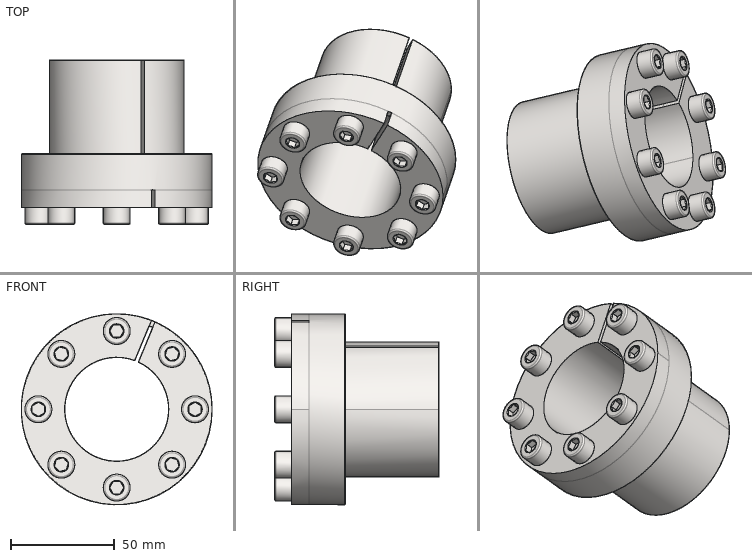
import cadquery as cq
import math

outer_diameter = 92.0
bore_diameter = 50.0
sleeve_diameter = 65.0
sleeve_length = 45.0
ring_length = 17.5
flange_length = 8.6
ring_chamfer = 0.4

slit_width = 1.8
slit_angle = 67.5
slit_depth_radius = 43.1

screw_count = 8
bolt_circle_diameter = 75.4
head_diameter = 13.0
head_height = 8.0
head_fillet = 0.7
socket_across_flats = 6.0
socket_depth = 4.0
socket_mouth_diameter = 7.0

ring_front = flange_length
ring_back = ring_front + ring_length
sleeve_back = ring_back + sleeve_length


def disc(diameter, start, end):
    """Solid cylinder on the Y axis between two Y stations."""
    return cq.Workplane("XZ", origin=(0, start, 0)).circle(diameter / 2).extrude(start - end)


def slit_cutter(start, end, reach):
    """Radial slab from the axis out to a given radius, between two Y stations."""
    slab = cq.Workplane("XY").box(reach, end - start, slit_width, centered=(False, False, True))
    return slab.translate((0, start, 0)).rotate((0, 0, 0), (0, 1, 0), -slit_angle)


def make_hub():
    flange = disc(outer_diameter, 0, ring_front)
    ring = disc(outer_diameter, ring_front, ring_back).faces(">Y").edges().chamfer(ring_chamfer)
    sleeve = disc(sleeve_diameter, ring_back, sleeve_back)

    hub = flange.union(ring, clean=False).union(sleeve, clean=False)
    cutters = [
        disc(bore_diameter, 0, sleeve_back),
        slit_cutter(0, ring_front, outer_diameter),
        slit_cutter(ring_front, sleeve_back, slit_depth_radius),
    ]
    for cutter in cutters:
        hub = hub.cut(cutter, clean=False)
    return hub


def make_screw(angle):
    """Screw head seated on the flange, turned by an angle in degrees around Y from the +Z side."""
    head = disc(head_diameter, -head_height, 0).faces("<Y").edges().fillet(head_fillet)

    socket_corner_diameter = socket_across_flats / math.cos(math.radians(30))
    front_plane = cq.Workplane("XZ", origin=(0, -head_height, 0))
    socket = front_plane.polygon(6, socket_corner_diameter).extrude(-socket_depth)
    mouth_depth = (socket_mouth_diameter - socket_across_flats) / 2
    mouth = (
        front_plane.circle(socket_mouth_diameter / 2)
        .workplane(offset=-mouth_depth)
        .circle(socket_across_flats / 2)
        .loft()
    )
    head = head.cut(socket).cut(mouth)

    return head.translate((0, 0, bolt_circle_diameter / 2)).rotate((0, 0, 0), (0, 1, 0), angle)


hub = make_hub()
screws = [make_screw(360 / screw_count * index) for index in range(screw_count)]

result = cq.Compound.makeCompound([hub.solids().val(), *[screw.solids().val() for screw in screws]])